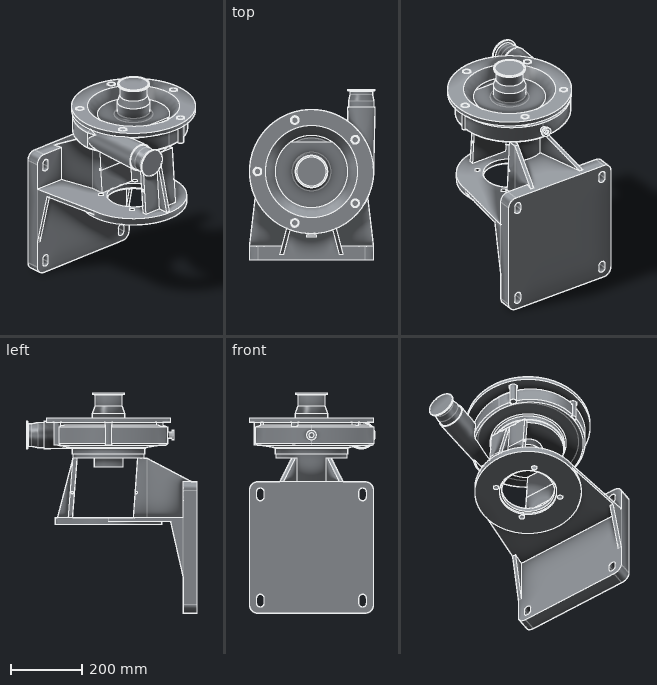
import cadquery as cq
import math


plate_width = 350.0
plate_height = 371.0
plate_thickness = 40.0
plate_back_y = -249.5
plate_corner_radius = 25.0
slot_width = 20.5
slot_length = 35.5
slot_x = 144.0
slot_edge_distance = 36.0

shelf_top_z = 270.0
shelf_thickness = 12.0
pad_depth = 20.0
pad_radius = 150.0
shelf_bore_radius = 74.5
pad_counterbore_radius = 80.5
pad_counterbore_depth = 6.0
shelf_bolt_circle_radius = 92.0
shelf_bolt_hole_diameter = 15.0
web_thickness = 10.5
web_reach = 35.5
web_foot_z = 102.5

ring_bottom_z = 437.0
ring_thickness = 12.0
ring_radius = 100.5
leg_half_width = 56.5
near_leg_outer_y = -108.5
near_leg_inner_top_y = -81.0
near_leg_inner_foot_y = -69.5
brace_end_y = -234.0
brace_end_half_width = 89.5
far_leg_inner_top_y = 88.0
far_leg_inner_foot_y = 101.0
far_leg_thickness = 12.5
far_gusset_foot_y = 144.0
leg_hole_diameter = 6.0
leg_hole_z = 340.0
near_leg_hole_y = -78.0
far_leg_hole_y = 102.5

shaft_boss_radius = 41.0
shaft_boss_bottom_z = 412.0
hub_radius = 102.5
hub_top_z = 464.0
belly_z = 467.0
belly_radius = 107.5
casing_bottom_z = 473.0
casing_top_z = 530.5
casing_bottom_chamfer = 5.5
casing_top_chamfer_height = 6.0
casing_top_chamfer_width = 15.5
volute_start_radius = 147.5
volute_end_radius = 176.0
volute_closing_point = (113.5, 104.0)
neck_radius = 136.5

flange_radius = 175.0
flange_bottom_z = 538.0
flange_top_z = 550.5
bowl_top_radius = 129.5
bowl_floor_radius = 102.0
bowl_floor_z = 525.0
pocket_edge_y = 82.5
pocket_depth = 8.0
pocket_fillet = 7.5
post_count = 5
post_circle_radius = 152.0
post_radius = 9.0
post_bottom_z = 474.0
post_hole_radius = 12.0

inlet_top_z = 620.5
inlet_base_radius = 46.0
inlet_base_top_z = 563.5
inlet_neck_radius = 38.5
inlet_neck_bottom_z = 584.0
inlet_rim_radius = 44.5
inlet_face_radius = 41.0
inlet_face_recess = 0.5
inlet_root_fillet = 8.5
outlet_x = 140.0
port_z = 502.0
outlet_start_radius = 35.5
outlet_cone_radius = 39.0
outlet_cone_end_y = 181.0
reducer_radius = 36.0
reducer_start_y = 198.5
reducer_end_y = 216.5
outlet_neck_radius = 32.0
outlet_end_y = 231.5
outlet_rim_radius = 39.0
rim_thickness = 4.0
rim_taper = 2.0
drain_radius = 9.0
drain_rim_radius = 13.5
drain_rim_y = -178.0
drain_end_y = -185.0
drain_bore_radius = 7.0
drain_bore_depth = 12.5

plate_front_y = plate_back_y + plate_thickness
ring_top_z = ring_bottom_z + ring_thickness
shelf_bottom_z = shelf_top_z - shelf_thickness


def disc(radius, bottom_z, top_z):
    """Vertical cylinder on the pump axis."""
    return cq.Workplane("XY").workplane(offset=bottom_z).circle(radius).extrude(top_z - bottom_z)


def side_profile(points, half_width):
    """Closed (y, z) outline extruded evenly to both sides of X = 0."""
    return cq.Workplane("YZ").polyline(points).close().extrude(half_width, both=True)


def turned(radius_height_points):
    """Solid of revolution about Z from an outer (radius, z) outline."""
    bottom_z = radius_height_points[0][1]
    top_z = radius_height_points[-1][1]
    outline = [(0, bottom_z), *radius_height_points, (0, top_z)]
    return cq.Workplane("XZ").polyline(outline).close().revolve(360, (0, 0), (0, 1))


def make_mounting_plate():
    slot_zs = (slot_edge_distance, plate_height - slot_edge_distance)
    slot_places = [(x, z) for x in (-slot_x, slot_x) for z in slot_zs]
    slots = (
        cq.Workplane("XZ", origin=(0, plate_front_y, 0))
        .pushPoints(slot_places)
        .slot2D(slot_length, slot_width, 90)
        .extrude(plate_thickness)
    )
    return (
        cq.Workplane("XY")
        .box(plate_width, plate_thickness, plate_height, centered=(True, False, False))
        .translate((0, plate_back_y, 0))
        .edges("|Y")
        .fillet(plate_corner_radius)
        .cut(slots)
    )


def shelf_outline(bottom_z, inset):
    """Shelf sketch: straight sides run from the plate to a half circle around the pad."""
    radius = pad_radius - inset
    corner_x = plate_width / 2 - inset
    return (
        cq.Workplane("XY")
        .workplane(offset=bottom_z)
        .moveTo(corner_x, plate_front_y)
        .lineTo(radius, 0)
        .threePointArc((0, radius), (-radius, 0))
        .lineTo(-corner_x, plate_front_y)
        .close()
    )


def make_shelf():
    pad_bottom_z = shelf_top_z - pad_depth
    shelf = shelf_outline(shelf_bottom_z, 0).extrude(shelf_thickness)
    shelf = shelf.union(disc(pad_radius, pad_bottom_z, shelf_top_z))
    shelf = shelf.cut(disc(shelf_bore_radius, pad_bottom_z, shelf_top_z))
    shelf = shelf.cut(disc(pad_counterbore_radius, pad_bottom_z, pad_bottom_z + pad_counterbore_depth))
    bolt_holes = (
        cq.Workplane("XY")
        .workplane(offset=pad_bottom_z)
        .polarArray(shelf_bolt_circle_radius, 45, 360, 4)
        .circle(shelf_bolt_hole_diameter / 2)
        .extrude(pad_depth)
    )
    return shelf.cut(bolt_holes)


def make_side_webs():
    """Triangular webs under the shelf, flush with its two tapering sides."""
    web_height = shelf_bottom_z - web_foot_z
    sides = shelf_outline(web_foot_z, 0).extrude(web_height)
    sides = sides.cut(shelf_outline(web_foot_z, web_thickness).extrude(web_height))
    triangle = [
        (plate_front_y, web_foot_z),
        (plate_front_y, shelf_bottom_z),
        (plate_front_y + web_reach, shelf_bottom_z),
    ]
    return sides.intersect(side_profile(triangle, plate_width))


def make_near_leg():
    """Leg beside the mounting plate: two spreading braces, solid between them up to the plate top."""
    block = side_profile(
        [
            (near_leg_outer_y, shelf_top_z),
            (near_leg_inner_foot_y, shelf_top_z),
            (near_leg_inner_top_y, ring_bottom_z),
            (near_leg_outer_y, ring_bottom_z),
        ],
        leg_half_width,
    )
    brace_area = side_profile(
        [
            (near_leg_outer_y, shelf_top_z),
            (near_leg_outer_y, ring_bottom_z),
            (brace_end_y, plate_height),
            (plate_front_y, plate_height),
            (plate_front_y, shelf_top_z),
        ],
        plate_width / 2,
    )
    spread = (brace_end_half_width - leg_half_width) / (near_leg_outer_y - brace_end_y)
    brace_width_x = web_thickness * math.hypot(1, spread)

    def wedge(inset, bottom_z):
        axis_half_width = leg_half_width + spread * near_leg_outer_y - inset
        end_half_width = brace_end_half_width - inset
        return (
            cq.Workplane("XY")
            .workplane(offset=bottom_z)
            .polyline(
                [
                    (-axis_half_width, 0),
                    (axis_half_width, 0),
                    (end_half_width, brace_end_y),
                    (-end_half_width, brace_end_y),
                ]
            )
            .close()
            .extrude(ring_bottom_z - bottom_z)
        )

    braces = brace_area.intersect(wedge(0, shelf_top_z))
    space_between = wedge(brace_width_x, plate_height).cut(disc(ring_radius, plate_height, ring_bottom_z))
    return block.union(braces).cut(space_between)


def make_far_leg():
    """Leaning plate with a central gusset on its outer face."""
    outer_top_y = far_leg_inner_top_y + far_leg_thickness
    outer_foot_y = far_leg_inner_foot_y + far_leg_thickness
    inner_edge = [(far_leg_inner_top_y, ring_bottom_z), (far_leg_inner_foot_y, shelf_top_z)]
    plate = side_profile(
        [*inner_edge, (outer_foot_y, shelf_top_z), (outer_top_y, ring_bottom_z)],
        leg_half_width,
    )
    gusset = side_profile(
        [*inner_edge, (far_gusset_foot_y, shelf_top_z), (outer_top_y, ring_bottom_z)],
        web_thickness / 2,
    )
    return plate.union(gusset)


def make_leg_holes():
    return (
        cq.Workplane("YZ")
        .pushPoints([(near_leg_hole_y, leg_hole_z), (far_leg_hole_y, leg_hole_z)])
        .circle(leg_hole_diameter / 2)
        .extrude(leg_half_width, both=True)
    )


def make_bracket():
    ring = disc(ring_radius, ring_bottom_z, ring_top_z)
    ring = ring.cut(disc(shaft_boss_radius, ring_bottom_z, ring_top_z))
    legs = make_near_leg().union(make_far_leg()).cut(make_leg_holes())
    return make_mounting_plate().union(make_shelf()).union(make_side_webs()).union(legs).union(ring)


def make_volute():
    """Casing whose radius grows evenly over three quarter turns from +Y to +X."""

    def rim_point(turn):
        radius = volute_start_radius + (volute_end_radius - volute_start_radius) * turn / 270
        angle = math.radians(90 + turn)
        return (radius * math.cos(angle), radius * math.sin(angle))

    outline = cq.Workplane("XY").workplane(offset=casing_bottom_z).moveTo(*rim_point(0))
    for quarter_start in (0, 90, 180):
        outline = outline.threePointArc(rim_point(quarter_start + 45), rim_point(quarter_start + 90))
    volute = (
        outline.threePointArc(volute_closing_point, rim_point(0))
        .close()
        .extrude(casing_top_z - casing_bottom_z)
    )
    volute = volute.faces(">Z").chamfer(casing_top_chamfer_height, casing_top_chamfer_width)
    return volute.faces("<Z").chamfer(casing_bottom_chamfer)


def make_underside():
    """Shaft boss, hub and the shallow cone below the casing."""
    return turned(
        [
            (shaft_boss_radius, shaft_boss_bottom_z),
            (shaft_boss_radius, ring_top_z),
            (hub_radius, ring_top_z),
            (hub_radius, hub_top_z),
            (belly_radius, belly_z),
            (volute_start_radius - casing_bottom_chamfer, casing_bottom_z),
        ]
    )


def make_bowl():
    """Conical recess with a deeper, round-bottomed pocket behind a straight edge."""
    bowl = turned([(bowl_floor_radius, bowl_floor_z), (bowl_top_radius, flange_top_z)])
    pocket = disc(bowl_floor_radius, bowl_floor_z - pocket_depth, bowl_floor_z)
    pocket = pocket.faces("<Z").edges().fillet(pocket_fillet)
    pocket_side = cq.Workplane("XY").box(
        2 * bowl_floor_radius, bowl_floor_radius, flange_top_z, centered=(True, False, False)
    )
    return bowl.union(pocket.intersect(pocket_side.translate((0, pocket_edge_y, 0))))


def make_posts(radius, bottom_z):
    return (
        cq.Workplane("XY")
        .workplane(offset=bottom_z)
        .polarArray(post_circle_radius, 180, 360, post_count)
        .circle(radius)
        .extrude(flange_top_z - bottom_z)
    )


def make_inlet():
    rim_bottom_z = inlet_top_z - rim_thickness
    base = disc(inlet_base_radius, bowl_floor_z, inlet_base_top_z)
    root = (
        cq.Workplane("XZ")
        .moveTo(0, bowl_floor_z)
        .lineTo(inlet_base_radius + inlet_root_fillet, bowl_floor_z)
        .radiusArc((inlet_base_radius, bowl_floor_z + inlet_root_fillet), inlet_root_fillet)
        .lineTo(0, bowl_floor_z + inlet_root_fillet)
        .close()
        .revolve(360, (0, 0), (0, 1))
    )
    upper = turned(
        [
            (inlet_base_radius, inlet_base_top_z),
            (inlet_neck_radius, inlet_neck_bottom_z),
            (inlet_neck_radius, rim_bottom_z - rim_taper),
            (inlet_rim_radius, rim_bottom_z),
            (inlet_rim_radius, inlet_top_z),
        ]
    )
    face_recess = disc(inlet_face_radius, inlet_top_z - inlet_face_recess, inlet_top_z)
    return base.union(root).union(upper).cut(face_recess)


def make_outlet():
    """Tangential pipe along +Y; turned upright, then laid down."""
    rim_start_y = outlet_end_y - rim_thickness
    pipe = turned(
        [
            (outlet_start_radius, 0),
            (outlet_cone_radius, outlet_cone_end_y),
            (reducer_radius, outlet_cone_end_y),
            (reducer_radius, reducer_start_y),
            (outlet_neck_radius, reducer_end_y),
            (outlet_neck_radius, rim_start_y - rim_taper),
            (outlet_rim_radius, rim_start_y),
            (outlet_rim_radius, outlet_end_y),
        ]
    )
    return pipe.rotate((0, 0, 0), (1, 0, 0), -90).translate((outlet_x, 0, port_z))


def drain_cylinder(radius, end_y, length):
    return cq.Workplane("XZ", origin=(0, end_y, port_z)).circle(radius).extrude(-length)


def make_pump():
    pump = make_volute().union(make_underside()).union(make_outlet())
    pump = pump.union(disc(neck_radius, casing_bottom_z, flange_bottom_z))
    flange = disc(flange_radius, flange_bottom_z, flange_top_z)
    flange = flange.cut(make_posts(post_hole_radius, flange_bottom_z))
    pump = pump.union(flange).union(make_posts(post_radius, post_bottom_z))
    pump = pump.cut(make_bowl()).union(make_inlet())
    drain_rim_width = drain_rim_y - drain_end_y
    pump = pump.union(drain_cylinder(drain_radius, drain_end_y, -drain_end_y - neck_radius))
    pump = pump.union(drain_cylinder(drain_rim_radius, drain_end_y, drain_rim_width))
    return pump.cut(drain_cylinder(drain_bore_radius, drain_end_y, drain_bore_depth))


bracket = make_bracket()
pump = make_pump()

result = cq.Compound.makeCompound([bracket.val(), pump.val()])